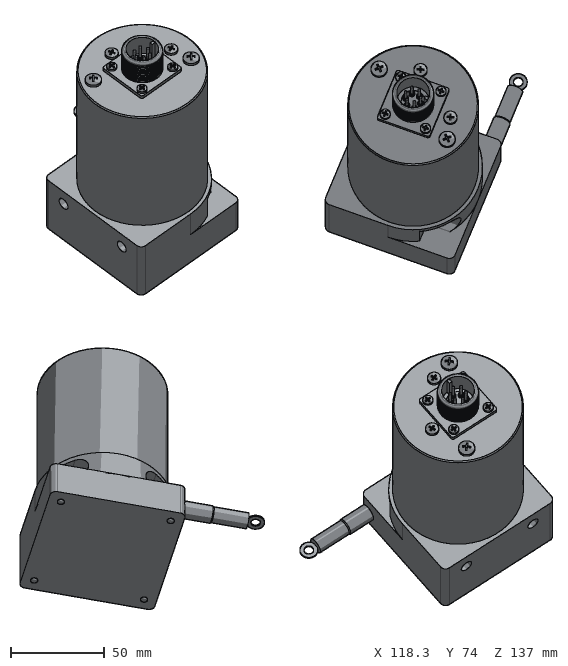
import cadquery as cq
import math


OVERLAP = 0.3

base_side = 74
base_height = 37
base_corner_radius = 3.3
ledge_z = 21.2
mount_hole_dia = 6.7
mount_hole_x = 22.2
mount_hole_z = 27.7
mount_recess_dia = 2 * (mount_hole_z - ledge_z)
mount_recess_floor_y = 16.5

foot_screw_offset = 30.1
foot_screw_dia = 3.8
foot_screw_height = 1.0
foot_screw_rim = 0.3

housing_dia = 69.8
housing_top_z = 119.5
housing_chamfer = 0.7

cable_y = 30.5
cable_z = 9.7
sleeve_dia = 9.6
sleeve_length = 15.9
sleeve_chamfer_length = 0.7
crimp_dia = 8.8
crimp_length = 35.0
eyelet_dia = sleeve_dia
eyelet_hole_dia = 5.0
eyelet_thickness = 1.0
length_x = 118.3

flange_side = 30.1
flange_thickness = 2.0
flange_corner_radius = 1.2
height_z = 137
connector_top_z = height_z - foot_screw_height
thread_dia = 22.2
thread_pitch = 1.25
thread_turns = 8.9
thread_depth = 0.8
groove_width = 1.03
groove_clearance = 0.1
thread_start_gap = 1.0
rim_dia = 21.9
rim_height = 1.8
rim_fillet = 1.3
bore_dia = 17.4
bore_depth = 12.3
insert_dia = 12.7
insert_height = 0.7
pin_count = 6
pin_circle_radius = 4.2
pin_steps = [(3.2, 0.8), (2.2, 1.6)]
pin_dia = 1.5
pin_tip_fillet = 0.5
pin_drop = 2.2
key_width = 1.6
key_inner_y = 6.6
key_drop = 0.7

flange_screw = (5.5, 1.2, 1.9, 3.2, 0.7)
small_screw = (7.1, 1.5, 2.0, 3.5, 0.7)
large_screw = (8.8, 1.5, 3.0, 4.4, 0.8)
cross_depth = 0.8
flange_screw_offset = 11.5
small_screw_places = [(0.1, 21.4), (-19.9, -3.4)]
small_screw_turn = 20
large_screw_place = (12.5, 24.2)
large_screw_turn = 45


def cylinder(diameter, bottom_z, top_z):
    return cq.Workplane("XY").workplane(offset=bottom_z).circle(diameter / 2).extrude(top_z - bottom_z)


def domed_head(diameter, rim, height):
    """Screw head standing on z = 0, with a short foot that sinks into its seat."""
    radius = diameter / 2
    sphere_radius = (radius**2 + (height - rim) ** 2) / (2 * (height - rim))
    mid_x = radius / 2
    mid_z = height - sphere_radius + math.sqrt(sphere_radius**2 - mid_x**2)
    return (
        cq.Workplane("XZ")
        .moveTo(0, -OVERLAP)
        .lineTo(radius, -OVERLAP)
        .lineTo(radius, rim)
        .threePointArc((mid_x, mid_z), (0, height))
        .close()
        .revolve(360, (0, 0, 0), (0, 1, 0))
    )


def cross_screw(sizes, turn=0):
    diameter, rim, height, cross_size, arm_width = sizes
    head = domed_head(diameter, rim, height)
    plane = cq.Workplane("XY").workplane(offset=height - cross_depth)
    for angle in (turn, turn + 90):
        arm = plane.rect(cross_size, arm_width).extrude(cross_depth)
        head = head.cut(arm.rotate((0, 0, 0), (0, 0, 1), angle))
    return head


def make_base():
    base = (
        cq.Workplane("XY")
        .rect(base_side, base_side)
        .extrude(base_height)
        .edges("|Z")
        .fillet(base_corner_radius)
    )
    step_height = base_height - ledge_z
    step = (
        cq.Workplane("XY", origin=(0, base_side / 2, ledge_z))
        .rect(2 * base_side, base_side)
        .extrude(step_height)
        .cut(cylinder(base_side, ledge_z, base_height))
    )
    base = base.cut(step)
    recess_length = base_side / 2 - mount_recess_floor_y
    for side in (-1, 1):
        x = side * mount_hole_x
        back_plane = cq.Workplane("XZ", origin=(x, base_side / 2, mount_hole_z))
        hole = back_plane.circle(mount_hole_dia / 2).extrude(base_side)
        recess = back_plane.circle(mount_recess_dia / 2).extrude(recess_length)
        run_out = (
            back_plane.center(side * base_side / 4, 0)
            .rect(base_side / 2, mount_recess_dia)
            .extrude(recess_length)
        )
        base = base.cut(hole).cut(recess).cut(run_out)
    foot_screw = domed_head(foot_screw_dia, foot_screw_rim, foot_screw_height)
    foot_screw = foot_screw.rotate((0, 0, 0), (1, 0, 0), 180)
    for x in (-foot_screw_offset, foot_screw_offset):
        for y in (-foot_screw_offset, foot_screw_offset):
            base = base.union(foot_screw.translate((x, y, 0)))
    return base


def make_cable():
    wall_x = -base_side / 2
    start_x = wall_x + base_corner_radius + OVERLAP
    sleeve_x = wall_x - sleeve_length
    crimp_x = wall_x - crimp_length
    cable = (
        cq.Workplane("XY")
        .moveTo(start_x, 0)
        .lineTo(start_x, sleeve_dia / 2)
        .lineTo(sleeve_x + sleeve_chamfer_length, sleeve_dia / 2)
        .lineTo(sleeve_x, crimp_dia / 2)
        .lineTo(crimp_x, crimp_dia / 2)
        .lineTo(crimp_x, 0)
        .close()
        .revolve(360, (0, 0, 0), (1, 0, 0))
    )
    eyelet_x = base_side / 2 - length_x + eyelet_dia / 2
    eyelet = (
        cq.Workplane("XY", origin=(eyelet_x, 0, -eyelet_thickness / 2))
        .circle(eyelet_dia / 2)
        .circle(eyelet_hole_dia / 2)
        .extrude(eyelet_thickness)
    )
    return cable.union(eyelet).translate((0, cable_y, cable_z))


def make_thread_groove(start_z):
    """Left-hand V groove around the connector shell."""
    radius = thread_dia / 2
    path = cq.Wire.makeHelix(thread_pitch, thread_turns * thread_pitch, radius, lefthand=True)
    profile = (
        cq.Workplane("XZ")
        .moveTo(radius - thread_depth, 0)
        .lineTo(radius + groove_clearance, groove_width / 2)
        .lineTo(radius + groove_clearance, -groove_width / 2)
        .close()
    )
    return profile.sweep(cq.Workplane(path), isFrenet=True).translate((0, 0, start_z))


def make_connector():
    flange_top_z = housing_top_z + flange_thickness
    floor_z = connector_top_z - bore_depth
    rim_bottom_z = connector_top_z - rim_height
    flange = (
        cq.Workplane("XY", origin=(0, 0, housing_top_z - OVERLAP))
        .rect(flange_side, flange_side)
        .extrude(flange_thickness + OVERLAP)
        .edges("|Z")
        .fillet(flange_corner_radius)
    )
    rim = cylinder(rim_dia, rim_bottom_z - OVERLAP, connector_top_z).faces(">Z").edges().fillet(rim_fillet)
    shell = cylinder(thread_dia, flange_top_z - OVERLAP, rim_bottom_z).union(rim)
    shell = shell.cut(cylinder(bore_dia, floor_z, connector_top_z))
    shell = shell.cut(make_thread_groove(flange_top_z + thread_start_gap))
    connector = flange.union(shell)

    insert_top_z = floor_z + insert_height
    connector = connector.union(cylinder(insert_dia, floor_z - OVERLAP, insert_top_z))
    pin = cylinder(pin_dia, floor_z, connector_top_z - pin_drop).faces(">Z").edges().fillet(pin_tip_fillet)
    for diameter, height in pin_steps:
        pin = pin.union(cylinder(diameter, floor_z, insert_top_z + height))
    for index in range(pin_count):
        angle = math.radians(90 + index * 360 / pin_count)
        place = (pin_circle_radius * math.cos(angle), pin_circle_radius * math.sin(angle), 0)
        connector = connector.union(pin.translate(place))
    key_outer_y = bore_dia / 2 + OVERLAP
    key = (
        cq.Workplane("XY", origin=(0, (key_inner_y + key_outer_y) / 2, floor_z - OVERLAP))
        .rect(key_width, key_outer_y - key_inner_y)
        .extrude(bore_depth + OVERLAP - key_drop)
    )
    connector = connector.union(key)

    screw = cross_screw(flange_screw)
    for x in (-flange_screw_offset, flange_screw_offset):
        for y in (-flange_screw_offset, flange_screw_offset):
            connector = connector.union(screw.translate((x, y, flange_top_z)))
    return connector


def make_housing():
    housing = cylinder(housing_dia, base_height - OVERLAP, housing_top_z)
    housing = housing.faces(">Z").edges().chamfer(housing_chamfer)
    for x, y in small_screw_places:
        housing = housing.union(cross_screw(small_screw, small_screw_turn).translate((x, y, housing_top_z)))
    large_x, large_y = large_screw_place
    for side in (-1, 1):
        screw = cross_screw(large_screw, large_screw_turn)
        housing = housing.union(screw.translate((side * large_x, side * large_y, housing_top_z)))
    return housing


result = make_base().union(make_housing()).union(make_cable()).union(make_connector())